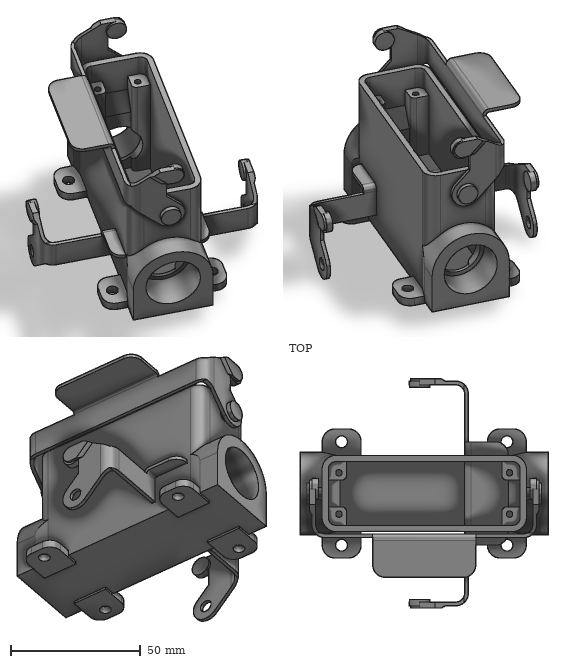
import cadquery as cq
import math

shell_half_length = 39.5
shell_half_width = 14.75
shell_height = 56.0
shell_corner_radius = 5.4
wall = 2.4
floor_thickness = 2.4

entry_half_width = 16.0
entry_end_x = 48.0
entry_bore_diameter = 18.5
entry_counterbore_diameter = 21.83
entry_counterbore_depth = 14.0
entry_taper_end_x = shell_half_length - shell_corner_radius

boss_top_z = 47.0
boss_inner_x = 30.0
boss_inner_y = 5.15
boss_corner_radius = 2.0
boss_hole_x = 33.0
boss_hole_y = 8.0
boss_hole_diameter = 2.46
boss_hole_depth = 12.0

end_wall_inner_x = 32.5
end_wall_shoulder_z = 2 * entry_half_width
end_wall_slope_angle = 60.0

foot_bottom_z = -1.0
foot_top_z = 2.4
foot_inner_x = 24.4
foot_inner_y = 9.7
foot_outer_y = 25.0
foot_corner_radius = 5.0
foot_hole_x = 32.0
foot_hole_y = 20.0
foot_hole_diameter = 4.5

sheet = 1.5
pivot_eye_radius = 6.0
pivot_hole_diameter = 5.0
arm_outer_y = 43.5
arm_inner_y = arm_outer_y - sheet
arm_back_x = 1.4
bar_outer_x = 17.1
bar_inner_x = bar_outer_x - sheet
bar_bottom_z = 6.9
bar_top_z = 17.6
bar_bend_radius = 5.0
tip_top_z = 24.0
tip_x = -1.8
tip_slope_start_x = 4.2
tip_slope_angle = 30.0
roller_radius = 4.0
roller_inner_y = 41.0
pad_outer_y = 44.4
pad_bottom_z = 17.0
pad_run = 1.8
pad_ramp_start_offset = 16.1
handle_half_width = 20.0
handle_end_x = 32.5
handle_top_z = 20.4
handle_bend_radius = 2.5
handle_corner_radius = 5.0

pin_z = 48.38
pin_shaft_diameter = 4.7
pin_head_diameter = 8.0
pin_head_outer_x = 45.3

quadrants = [(side_x, side_y) for side_x in (-1, 1) for side_y in (-1, 1)]


def box_between(x0, x1, y0, y1, z0, z1):
    """Axis-aligned block between two opposite corners, given in any order."""
    size = (abs(x1 - x0), abs(y1 - y0), abs(z1 - z0))
    return cq.Workplane("XY").box(*size).translate(((x0 + x1) / 2, (y0 + y1) / 2, (z0 + z1) / 2))


def rod_along_x(diameter, x0, x1, z):
    """Round rod on the Y = 0 plane, parallel to X."""
    return cq.Workplane("YZ", origin=(x0, 0, 0)).center(0, z).circle(diameter / 2).extrude(x1 - x0)


def lever_side_profile():
    """Outline of arm and bar in XZ: 45 degree neck from the pivot eye, sloped top edge."""
    tangent = pivot_eye_radius * math.sqrt(0.5)
    edge_offset = pivot_eye_radius * math.sqrt(2)
    slope_end_x = tip_slope_start_x + (tip_top_z - bar_top_z) / math.tan(math.radians(tip_slope_angle))
    return (
        cq.Workplane("XZ", origin=(0, arm_outer_y, 0))
        .moveTo(tangent, -tangent)
        .lineTo(edge_offset + bar_bottom_z, bar_bottom_z)
        .lineTo(bar_outer_x, bar_bottom_z)
        .lineTo(bar_outer_x, bar_top_z)
        .lineTo(slope_end_x, bar_top_z)
        .lineTo(tip_slope_start_x, tip_top_z)
        .lineTo(tip_x, tip_top_z)
        .lineTo(tip_x, pad_bottom_z)
        .lineTo(arm_back_x, pad_bottom_z)
        .lineTo(arm_back_x, arm_back_x + edge_offset)
        .lineTo(-tangent, tangent)
        .threePointArc((-tangent, -tangent), (tangent, -tangent))
        .close()
        .extrude(2 * arm_outer_y)
    )


def lever_bent_strip():
    """U-shaped sheet: two arms joined by the cross bar, bent at both corners."""
    start_x = -2 * pivot_eye_radius
    depth_z = 4 * tip_top_z
    outside = box_between(start_x, bar_outer_x, -arm_outer_y, arm_outer_y, -tip_top_z, depth_z)
    inside = box_between(start_x, bar_inner_x, -arm_inner_y, arm_inner_y, -tip_top_z, depth_z)
    outside = outside.edges("|Z and >X").fillet(bar_bend_radius)
    inside = inside.edges("|Z and >X").fillet(bar_bend_radius - sheet)
    return outside.cut(inside)


def lever_tip():
    """Raised pad on the outside of the +Y arm and the latch disc that reaches inside it."""
    pad_radius = (tip_top_z - pad_bottom_z) / 2
    pad_middle_z = pad_bottom_z + pad_radius
    ramp_end_offset = pad_ramp_start_offset - pad_run * math.sqrt(2)
    slope = math.tan(math.radians(tip_slope_angle))
    ramp_end_x = (tip_top_z + slope * tip_slope_start_x - ramp_end_offset) / (1 + slope)
    pad = (
        cq.Workplane("XZ", origin=(0, pad_outer_y, 0))
        .moveTo(tip_x, pad_bottom_z)
        .lineTo(pad_bottom_z - ramp_end_offset, pad_bottom_z)
        .lineTo(ramp_end_x, ramp_end_x + ramp_end_offset)
        .lineTo(tip_slope_start_x, tip_top_z)
        .lineTo(tip_x, tip_top_z)
        .threePointArc((tip_x - pad_radius, pad_middle_z), (tip_x, pad_bottom_z))
        .close()
        .extrude(pad_outer_y - arm_inner_y)
    )
    wedge_plane = cq.Plane(
        origin=(-ramp_end_offset, 0, 0),
        xDir=(math.sqrt(0.5), 0, -math.sqrt(0.5)),
        normal=(1, 0, 1),
    )
    wedge = (
        cq.Workplane(wedge_plane)
        .polyline([(0, arm_outer_y), (0, pad_outer_y), (-pad_run, pad_outer_y)])
        .close()
        .extrude(2 * tip_top_z, both=True)
    )
    disc = (
        cq.Workplane("XZ", origin=(0, arm_outer_y, 0))
        .center(tip_x, tip_top_z - roller_radius)
        .circle(roller_radius)
        .extrude(arm_outer_y - roller_inner_y)
    )
    return pad.cut(wedge).union(disc)


def lever_handle():
    """Thumb tab bent outwards from the top edge of the cross bar."""
    bend_z = handle_top_z - handle_bend_radius
    bend_x = bar_inner_x + handle_bend_radius
    inner_radius = handle_bend_radius - sheet
    diagonal = math.sqrt(0.5)
    tab = (
        cq.Workplane("XZ", origin=(0, handle_half_width, 0))
        .moveTo(bar_inner_x, bar_bottom_z)
        .lineTo(bar_inner_x, bend_z)
        .threePointArc(
            (bend_x - handle_bend_radius * diagonal, bend_z + handle_bend_radius * diagonal),
            (bend_x, handle_top_z),
        )
        .lineTo(handle_end_x, handle_top_z)
        .lineTo(handle_end_x, handle_top_z - sheet)
        .lineTo(bend_x, handle_top_z - sheet)
        .threePointArc(
            (bend_x - inner_radius * diagonal, bend_z + inner_radius * diagonal),
            (bar_outer_x, bend_z),
        )
        .lineTo(bar_outer_x, bar_bottom_z)
        .close()
        .extrude(2 * handle_half_width)
    )
    return tab.edges("|Z and >X").fillet(handle_corner_radius)


def make_lever():
    tip = lever_tip()
    pivot_hole = cq.Workplane("XZ").circle(pivot_hole_diameter / 2).extrude(2 * arm_outer_y, both=True)
    return (
        lever_side_profile()
        .intersect(lever_bent_strip())
        .union(tip)
        .union(tip.mirror("XZ"))
        .union(lever_handle())
        .cut(pivot_hole)
    )


def shell_block():
    return (
        cq.Workplane("XY")
        .rect(2 * shell_half_length, 2 * shell_half_width)
        .extrude(shell_height)
        .edges("|Z")
        .fillet(shell_corner_radius)
    )


def cable_entry_blocks():
    """D-shaped entries at both ends, tapering in plan to the shell's long faces."""
    section = (
        cq.Workplane("YZ", origin=(-entry_end_x, 0, 0))
        .moveTo(-entry_half_width, 0)
        .lineTo(entry_half_width, 0)
        .lineTo(entry_half_width, entry_half_width)
        .threePointArc((0, 2 * entry_half_width), (-entry_half_width, entry_half_width))
        .close()
        .extrude(2 * entry_end_x)
    )
    plan_quarter = [
        (0, 0),
        (0, shell_half_width),
        (entry_taper_end_x, shell_half_width),
        (shell_half_length, entry_half_width),
        (entry_end_x, entry_half_width),
        (entry_end_x, 0),
    ]
    quarter = cq.Workplane("XY").polyline(plan_quarter).close().extrude(2 * entry_half_width)
    half = quarter.union(quarter.mirror("XZ"))
    return section.intersect(half.union(half.mirror("YZ")))


def cavity():
    """Open-topped interior, less the corner bosses and the thickened end walls."""
    half_length = shell_half_length - wall
    half_width = shell_half_width - wall
    space = (
        cq.Workplane("XY", origin=(0, 0, floor_thickness))
        .rect(2 * half_length, 2 * half_width)
        .extrude(shell_height - floor_thickness)
        .edges("|Z")
        .fillet(shell_corner_radius - wall)
    )
    slope_rise = (half_length - end_wall_inner_x) * math.tan(math.radians(end_wall_slope_angle))
    for side in (-1, 1):
        end_wall = (
            cq.Workplane("XZ", origin=(0, boss_inner_y, 0))
            .moveTo(side * shell_half_length, 0)
            .lineTo(side * end_wall_inner_x, 0)
            .lineTo(side * end_wall_inner_x, end_wall_shoulder_z)
            .lineTo(side * half_length, end_wall_shoulder_z + slope_rise)
            .lineTo(side * shell_half_length, end_wall_shoulder_z + slope_rise)
            .close()
            .extrude(2 * boss_inner_y)
        )
        space = space.cut(end_wall)
    for side_x, side_y in quadrants:
        boss = box_between(
            side_x * boss_inner_x, side_x * shell_half_length,
            side_y * boss_inner_y, side_y * shell_half_width,
            0, boss_top_z,
        )
        inner_edge = cq.selectors.NearestToPointSelector(
            (side_x * boss_inner_x, side_y * boss_inner_y, boss_top_z / 2)
        )
        space = space.cut(boss.edges("|Z").edges(inner_edge).fillet(boss_corner_radius))
    return space


def boss_screw_holes():
    return (
        cq.Workplane("XY", origin=(0, 0, boss_top_z - boss_hole_depth))
        .pushPoints([(side_x * boss_hole_x, side_y * boss_hole_y) for side_x, side_y in quadrants])
        .circle(boss_hole_diameter / 2)
        .extrude(boss_hole_depth)
    )


def mounting_foot(side_x, side_y):
    foot = box_between(
        side_x * foot_inner_x, side_x * shell_half_length,
        side_y * foot_inner_y, side_y * foot_outer_y,
        foot_bottom_z, foot_top_z,
    )
    outer_edges = foot.edges("|Z").edges(">Y" if side_y > 0 else "<Y")
    foot = outer_edges.fillet(foot_corner_radius)
    hole = (
        cq.Workplane("XY", origin=(side_x * foot_hole_x, side_y * foot_hole_y, foot_bottom_z))
        .circle(foot_hole_diameter / 2)
        .extrude(foot_top_z - foot_bottom_z)
    )
    return foot.cut(hole)


def pivot_pin(side):
    """Headed pin standing on the end wall; the head retains the lever arm."""
    shaft = rod_along_x(pin_shaft_diameter, side * (shell_half_length - wall), side * arm_outer_y, pin_z)
    head = rod_along_x(pin_head_diameter, side * arm_outer_y, side * pin_head_outer_x, pin_z)
    return shaft.union(head)


def make_housing():
    body = shell_block().union(cable_entry_blocks())
    for side_x, side_y in quadrants:
        body = body.union(mounting_foot(side_x, side_y))
    body = body.cut(cavity()).cut(boss_screw_holes())
    body = body.cut(rod_along_x(entry_bore_diameter, -entry_end_x, entry_end_x, entry_half_width))
    for side in (-1, 1):
        counterbore_end_x = entry_end_x - entry_counterbore_depth
        body = body.cut(
            rod_along_x(
                entry_counterbore_diameter, side * counterbore_end_x, side * entry_end_x, entry_half_width
            )
        )
        body = body.union(pivot_pin(side))
    return body


loose_lever = make_lever()
fitted_lever = loose_lever.rotate((0, 0, 0), (0, 0, 1), -90).translate((0, 0, pin_z))
housing = make_housing().cut(loose_lever)

result = cq.Compound.makeCompound(
    [housing.solids().val(), fitted_lever.solids().val(), loose_lever.solids().val()]
)